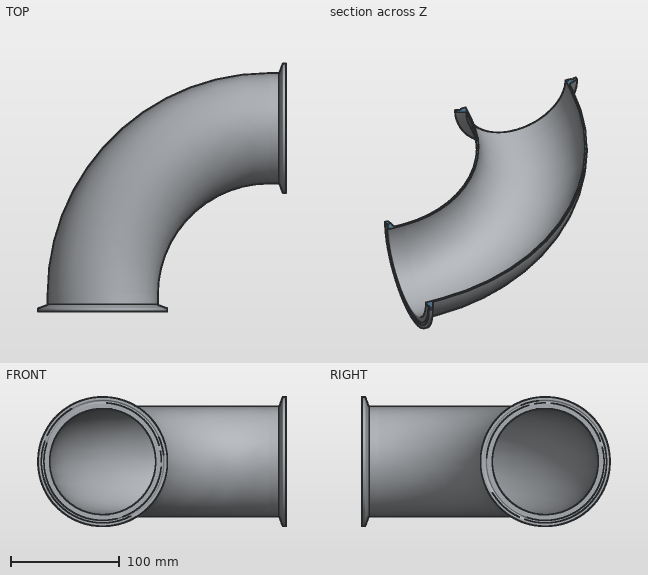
import cadquery as cq
import math

tube_diameter = 101.6
bore_diameter = 97.38
bend_radius = 1.5 * tube_diameter

ferrule_length = 15.875
flange_diameter = 118.92
rim_thickness = 3.1
flange_back_angle = 20.0
flange_back_fillet = 0.7
face_edge_fillet = 0.3

groove_center_radius = 55.1
groove_arc_radius = 1.25
groove_lip_fillet = 0.7

tube_radius = tube_diameter / 2
bore_radius = bore_diameter / 2
flange_radius = flange_diameter / 2
flange_back_height = (flange_radius - tube_radius) * math.tan(math.radians(flange_back_angle))
flange_root_height = rim_thickness + flange_back_height

match_tolerance = 1e-3


def fillet_rings(body, fillet_radius, rings):
    """Round the circular edges given as (edge radius, height above the clamp face)."""

    def is_listed(edge):
        return any(
            abs(edge.radius() - ring_radius) < match_tolerance
            and abs(edge.Center().z - height) < match_tolerance
            for ring_radius, height in rings
        )

    return body.edges("%CIRCLE").filter(is_listed).fillet(fillet_radius)


def make_bend():
    """Quarter-turn tube that starts at the origin heading +Y and ends heading +X."""
    return (
        cq.Workplane("XZ")
        .circle(tube_radius)
        .circle(bore_radius)
        .revolve(90, (bend_radius, 0, 0), (bend_radius, -1, 0))
    )


def make_groove():
    """Torus centred on the clamp face; the half inside the ferrule cuts the gasket groove."""
    return cq.Workplane("XY").add(cq.Solid.makeTorus(groove_center_radius, groove_arc_radius))


def make_ferrule():
    """Clamp ferrule along local +Z, with its clamp face at height 0."""
    body = (
        cq.Workplane("XZ")
        .moveTo(bore_radius, 0)
        .lineTo(flange_radius, 0)
        .lineTo(flange_radius, rim_thickness)
        .lineTo(tube_radius, flange_root_height)
        .lineTo(tube_radius, ferrule_length)
        .lineTo(bore_radius, ferrule_length)
        .close()
        .revolve(360, (0, 0, 0), (0, 1, 0))
    )
    body = body.cut(make_groove())

    back_rings = [(flange_radius, rim_thickness), (tube_radius, flange_root_height)]
    face_rings = [(flange_radius, 0), (bore_radius, 0)]
    groove_lips = [
        (groove_center_radius - groove_arc_radius, 0),
        (groove_center_radius + groove_arc_radius, 0),
    ]
    body = fillet_rings(body, flange_back_fillet, back_rings)
    body = fillet_rings(body, face_edge_fillet, face_rings)
    return fillet_rings(body, groove_lip_fillet, groove_lips)


ferrule = make_ferrule()

inlet = ferrule.rotate((0, 0, 0), (1, 0, 0), -90).translate((0, -ferrule_length, 0))
outlet = ferrule.rotate((0, 0, 0), (0, 1, 0), -90).translate(
    (bend_radius + ferrule_length, bend_radius, 0)
)

result = make_bend().union(inlet).union(outlet)